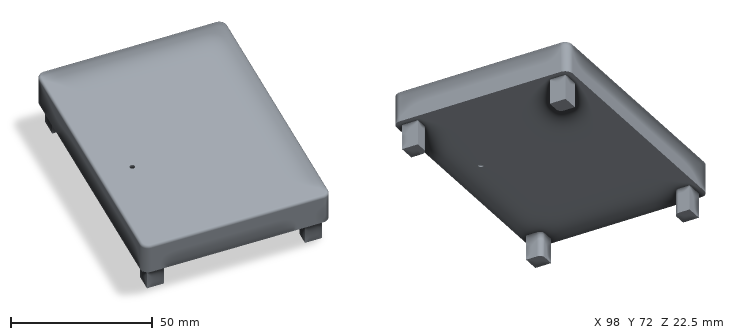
import cadquery as cq

length = 98.0
width = 72.0
total_height = 22.5
leg_height = 10.0
body_height = total_height - leg_height
corner_radius = 3.0
top_edge_radius = 1.0

leg_side = 6.5
leg_inset = 2.5
leg_inner_radius = 2.0

hole_diameter = 2.0
hole_x = 8.8
hole_y = -23.3


def make_body():
    """Slab standing on the leg tops, with rounded corners and top edge."""
    slab = cq.Workplane("XY").workplane(offset=leg_height).rect(length, width).extrude(body_height)
    slab = slab.edges("|Z").fillet(corner_radius)
    return slab.faces(">Z").edges().fillet(top_edge_radius)


def make_leg():
    """Leg under the +X +Y corner, with its edge facing the middle of the part rounded."""
    leg_x = length / 2 - leg_inset - leg_side / 2
    leg_y = width / 2 - leg_inset - leg_side / 2
    leg = cq.Workplane("XY").center(leg_x, leg_y).rect(leg_side, leg_side).extrude(leg_height)
    return leg.edges("|Z").edges("<(1, 1, 0)").fillet(leg_inner_radius)


def make_legs():
    """Four legs, mirrored about both centre planes."""
    pair = make_leg().mirror("YZ", union=True)
    return pair.mirror("XZ", union=True)


def make_hole():
    """Cylinder that cuts the through hole."""
    return cq.Workplane("XY").center(hole_x, hole_y).circle(hole_diameter / 2).extrude(total_height)


result = make_body().union(make_legs()).cut(make_hole())